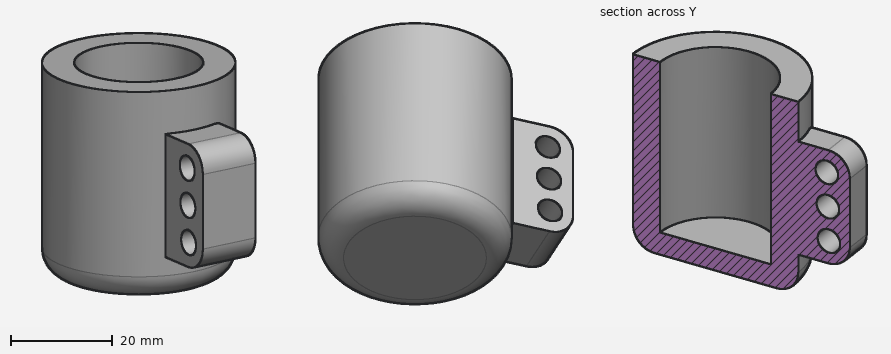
import cadquery as cq

outer_diameter = 38.1
bore_diameter = 25.4
bore_depth = 38.1
floor_thickness = 5.08
base_fillet = 5.0
cup_height = bore_depth + floor_thickness

lug_tip_x = 30.90
lug_length = 12.7
lug_root_x = lug_tip_x - lug_length
lug_thickness = 12.7
lug_height = 25.4
lug_corner_radius = 5.0
lug_center_z = cup_height / 2

hole_diameter = 5.08
hole_count = 3
hole_pitch = 7.62
hole_row_x = 25.80
hole_step_x = 0.24


def make_cup():
    body = cq.Workplane("XY").circle(outer_diameter / 2).extrude(cup_height)
    body = body.faces("<Z").edges().fillet(base_fillet)
    bore = (
        cq.Workplane("XY")
        .workplane(offset=floor_thickness)
        .circle(bore_diameter / 2)
        .extrude(bore_depth)
    )
    return body.cut(bore)


def make_lug():
    lug = cq.Workplane("XY").box(lug_length, lug_thickness, lug_height)
    lug = lug.edges("|Y and >X").fillet(lug_corner_radius)
    return lug.translate((lug_root_x + lug_length / 2, 0, lug_center_z))


def make_lug_holes():
    centers = []
    for index in range(hole_count):
        steps_down = index - (hole_count - 1) / 2
        x = hole_row_x + steps_down * hole_step_x
        z = lug_center_z - steps_down * hole_pitch
        centers.append((x, z))
    return (
        cq.Workplane("XZ")
        .pushPoints(centers)
        .circle(hole_diameter / 2)
        .extrude(lug_thickness / 2, both=True)
    )


result = make_cup().union(make_lug()).cut(make_lug_holes())